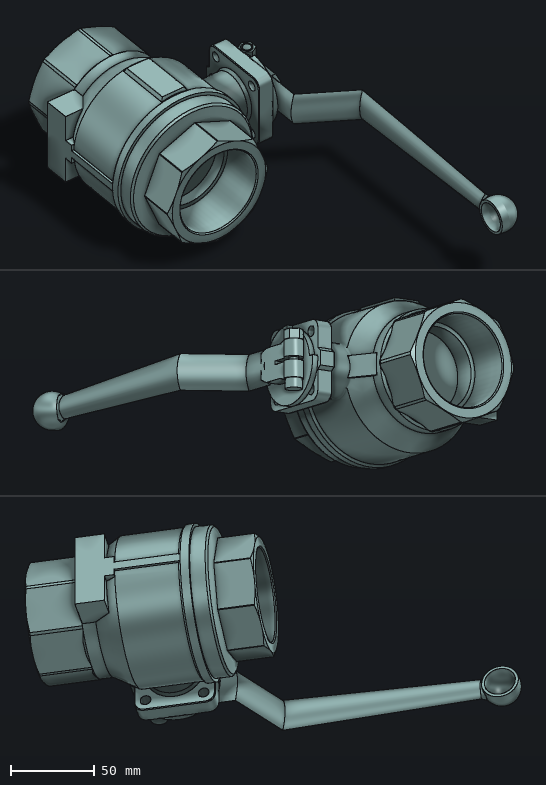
import cadquery as cq
import math

INLET_END = -70.0
INLET_HEX_END = -36.5
SHOULDER_START = -28.0
BARREL_START = -12.5
COLLAR_START = 28.0
CAP_START = 33.5
CAP_RIM_END = 44.3
CAP_HEX_START = 46.5
OUTLET_END = 70.2

OCTAGON_CORNER_RADIUS = 37.8
INLET_CORNER_FLAT = 2.0
CAP_CORNER_FLAT = 0.5
MOUTH_CHAMFER_DEPTH = 2.7
MOUTH_CHAMFER_LENGTH = 1.4
THREAD_RADIUS = 28.5
THREAD_DEPTH = 29.2
THREAD_CHAMFER = 0.8
PORT_RADIUS = 26.0
PORT_DEPTH = 43.2

THROAT_RADIUS = 37.3
THROAT_CHAMFER = 1.5
BARREL_RADIUS = 46.5
COLLAR_RADIUS = 48.0
COLLAR_FLARE = 1.4
CAP_RIM_RADIUS = 46.0
CAP_RIM_CHAMFER = 1.4

FOOT_END = -18.4
FOOT_HALF_WIDTH = 24.8
WEB_HALF_WIDTH = 6.8
WEB_START = -32.0
RIB_HALF_WIDTH = 2.7
PAD_START = -11.5
PAD_END = 26.5
PAD_HALF_WIDTH = 9.7
PAD_INSET = 1.4
PAD_BASE = 45.4

NECK_RADIUS = 16.7
NECK_FLARE = 1.0
NECK_FLARE_HEIGHT = 2.5
NECK_ROOT_FILLET = 1.5
FLANGE_BOTTOM = 64.3
FLANGE_TOP = 74.8
FLANGE_HALF_SIDE = 24.8
FLANGE_CORNER = 6.0
FLANGE_EDGE_CHAMFER = 0.5
FLANGE_HOLE_PITCH = 35.6
FLANGE_HOLE_RADIUS = 3.2
LUG_REACH = 27.5
LUG_HALF_WIDTH = 4.5
LUG_BASE_HALF_WIDTH = 6.8
LUG_HOLE_X = -22.0
LUG_HOLE_RADIUS = 2.2

PLATE_RADIUS = 24.8
PLATE_RELIEF_RADIUS = 21.5
PLATE_STEP_OFFSET = 2.0
PLATE_TOP = 78.5

HUB_TOP = 88.5
JAW_HALF_WIDTH = 12.0
JAW_END = -8.6
HUB_HALF_WIDTH = 10.5
HUB_START = -5.0
HUB_SHOULDER = 9.5
HUB_END = 14.8
HUB_END_HALF_WIDTH = 8.0
SLIT_WIDTH = 2.2
BOLT_X = -14.0
BOLT_Y = 84.8
JAW_RADIUS = 6.0

SHANK_RADIUS = 3.0
HEAD_RADIUS = 5.0
HEAD_HEIGHT = 6.2
NUT_ACROSS_FLATS = 10.0
NUT_COUNTERSINK = 0.8

ARM_THICKNESS = 7.8
ARM_START = 11.3
LOWER_ARM_Y = 84.8
LOWER_BEND_X = 32.7
UPPER_BEND_X = 54.0
UPPER_ARM_Y = 120.2
CRANK_WIDTH = 22.7
TIP_WIDTH = 14.8
TIP_X = 175.8
TIP_FLARE = 2.7
TIP_FLARE_LENGTH = 3.2

KNOB_RADIUS = 12.0
KNOB_X = 188.2
KNOB_Y = 120.2
KNOB_MOUTH_Y = 114.8
KNOB_MOUTH_RADIUS = 11.3
KNOB_CAVITY_RADIUS = 9.5


def revolve_about_pipe(points):
    """Solid of revolution about the X axis from (x, radius) points."""
    return cq.Workplane("XY").polyline(points).close().revolve(360, (0, 0, 0), (1, 0, 0))


def cylinder_along_stem(bottom, top, radius, x=0, z=0):
    return cq.Workplane("XZ", origin=(x, bottom, z)).circle(radius).extrude(bottom - top)


def box_between(x_range, y_range, z_range):
    size = [high - low for low, high in (x_range, y_range, z_range)]
    corner = (x_range[0], y_range[0], z_range[0])
    return cq.Workplane("XY").box(*size, centered=False).translate(corner)


def octagon_end(mouth, root, corner_flat):
    """Octagonal wrench section with turned corners, chamfered at its mouth."""
    half_flat_angle = math.asin(corner_flat / 2 / OCTAGON_CORNER_RADIUS)
    apothem = OCTAGON_CORNER_RADIUS * math.cos(math.pi / 8 - half_flat_angle)
    circumscribed = 2 * apothem / math.cos(math.pi / 8)
    prism = cq.Workplane("YZ", origin=(mouth, 0, 0)).polygon(8, circumscribed).extrude(root - mouth)
    turned = revolve_about_pipe([
        (mouth, 0),
        (mouth, OCTAGON_CORNER_RADIUS - MOUTH_CHAMFER_DEPTH),
        (mouth + math.copysign(MOUTH_CHAMFER_LENGTH, root - mouth), OCTAGON_CORNER_RADIUS),
        (root, OCTAGON_CORNER_RADIUS),
        (root, 0),
    ])
    return prism.intersect(turned)


def threaded_port(mouth, direction):
    """Stepped blind bore; direction is +1 when it runs toward +X."""
    return revolve_about_pipe([
        (mouth, 0),
        (mouth, THREAD_RADIUS + THREAD_CHAMFER),
        (mouth + direction * THREAD_CHAMFER, THREAD_RADIUS),
        (mouth + direction * THREAD_DEPTH, THREAD_RADIUS),
        (mouth + direction * THREAD_DEPTH, PORT_RADIUS),
        (mouth + direction * PORT_DEPTH, PORT_RADIUS),
        (mouth + direction * PORT_DEPTH, 0),
    ])


def make_shell():
    """Turned casting with a conical shoulder, and the neck that rises from it."""
    shell = revolve_about_pipe([
        (INLET_HEX_END - THROAT_CHAMFER, 0),
        (INLET_HEX_END - THROAT_CHAMFER, THROAT_RADIUS - THROAT_CHAMFER),
        (INLET_HEX_END, THROAT_RADIUS),
        (SHOULDER_START, THROAT_RADIUS),
        (BARREL_START, BARREL_RADIUS),
        (COLLAR_START - COLLAR_FLARE, BARREL_RADIUS),
        (COLLAR_START, COLLAR_RADIUS),
        (CAP_START, COLLAR_RADIUS),
        (CAP_START, 0),
    ])
    neck = cylinder_along_stem(0, FLANGE_BOTTOM, NECK_RADIUS)
    neck_root = cq.selectors.BoxSelector(
        (-2 * NECK_RADIUS, THROAT_RADIUS, -2 * NECK_RADIUS),
        (2 * NECK_RADIUS, COLLAR_RADIUS, 2 * NECK_RADIUS),
    )
    shell = shell.union(neck)
    return shell.edges(neck_root).edges("not %CIRCLE").edges("not %LINE").fillet(NECK_ROOT_FILLET)


def make_foot():
    """Block under the throat, with a web that joins it to the lower rib."""
    block = box_between(
        (INLET_HEX_END, FOOT_END), (-COLLAR_RADIUS, 0), (-FOOT_HALF_WIDTH, FOOT_HALF_WIDTH)
    )
    web = box_between(
        (FOOT_END, BARREL_START), (-COLLAR_RADIUS, 0), (-WEB_HALF_WIDTH, WEB_HALF_WIDTH)
    )
    return block.union(web)


def make_ribs():
    """Parting ribs along the barrel at +Y and -Y, and the web up the shoulder to the neck."""
    ribs = box_between(
        (BARREL_START, COLLAR_START), (-COLLAR_RADIUS, COLLAR_RADIUS), (-RIB_HALF_WIDTH, RIB_HALF_WIDTH)
    )
    web = (
        cq.Workplane("XY", origin=(0, 0, -WEB_HALF_WIDTH))
        .moveTo(WEB_START, 0)
        .lineTo(WEB_START, THROAT_RADIUS)
        .lineTo(BARREL_START, COLLAR_RADIUS)
        .lineTo(BARREL_START, 0)
        .close()
        .extrude(2 * WEB_HALF_WIDTH)
    )
    return ribs.union(web)


def make_pad():
    """Tapered name pad on the barrel, facing +Z."""
    centre_x = (PAD_START + PAD_END) / 2
    length = PAD_END - PAD_START
    width = 2 * PAD_HALF_WIDTH
    root = box_between((PAD_START, PAD_END), (-PAD_HALF_WIDTH, PAD_HALF_WIDTH), (0, PAD_BASE))
    top = (
        cq.Workplane("XY", origin=(centre_x, 0, PAD_BASE))
        .rect(length, width)
        .workplane(offset=COLLAR_RADIUS - PAD_BASE)
        .rect(length - 2 * PAD_INSET, width - 2 * PAD_INSET)
        .loft(ruled=True)
    )
    return root.union(top)


def make_flange():
    """Square mounting flange with a drilled lug on its -X side."""
    thickness = FLANGE_TOP - FLANGE_BOTTOM
    base = cq.Workplane("XZ", origin=(0, FLANGE_TOP, 0))
    plate = base.rect(2 * FLANGE_HALF_SIDE, 2 * FLANGE_HALF_SIDE).extrude(thickness)
    plate = plate.edges("|Y").fillet(FLANGE_CORNER)
    lug = (
        base.polyline([
            (0, -LUG_BASE_HALF_WIDTH),
            (-FLANGE_HALF_SIDE, -LUG_BASE_HALF_WIDTH),
            (-LUG_REACH, -LUG_HALF_WIDTH),
            (-LUG_REACH, LUG_HALF_WIDTH),
            (-FLANGE_HALF_SIDE, LUG_BASE_HALF_WIDTH),
            (0, LUG_BASE_HALF_WIDTH),
        ])
        .close()
        .extrude(thickness)
    )
    corner_holes = (
        base.rect(FLANGE_HOLE_PITCH, FLANGE_HOLE_PITCH, forConstruction=True)
        .vertices()
        .circle(FLANGE_HOLE_RADIUS)
        .extrude(thickness)
    )
    lug_hole = cylinder_along_stem(FLANGE_BOTTOM, FLANGE_TOP, LUG_HOLE_RADIUS, x=LUG_HOLE_X)
    flange = plate.union(lug).faces("<Y").chamfer(FLANGE_EDGE_CHAMFER)
    return flange.cut(corner_holes).cut(lug_hole)


def make_neck_collar():
    """Small cone where the neck meets the flange."""
    return cq.Workplane("XY").polyline([
        (0, FLANGE_BOTTOM - NECK_FLARE_HEIGHT),
        (NECK_RADIUS, FLANGE_BOTTOM - NECK_FLARE_HEIGHT),
        (NECK_RADIUS + NECK_FLARE, FLANGE_BOTTOM),
        (0, FLANGE_BOTTOM),
    ]).close().revolve(360, (0, 0, 0), (0, 1, 0))


def make_housing():
    housing = make_shell()
    housing = housing.union(octagon_end(INLET_END, INLET_HEX_END, INLET_CORNER_FLAT))
    housing = housing.union(make_foot()).union(make_ribs())
    housing = housing.union(make_pad()).union(make_neck_collar()).union(make_flange())
    return housing.cut(threaded_port(INLET_END, 1))


def make_end_cap():
    """Outlet piece with a round rim against the housing collar."""
    rim = revolve_about_pipe([
        (CAP_START, 0),
        (CAP_START, CAP_RIM_RADIUS),
        (CAP_RIM_END - CAP_RIM_CHAMFER, CAP_RIM_RADIUS),
        (CAP_RIM_END, CAP_RIM_RADIUS - CAP_RIM_CHAMFER),
        (CAP_HEX_START, OCTAGON_CORNER_RADIUS),
        (CAP_HEX_START, 0),
    ])
    cap = rim.union(octagon_end(OUTLET_END, CAP_HEX_START, CAP_CORNER_FLAT))
    return cap.cut(threaded_port(OUTLET_END, -1))


def make_stop_plate():
    """Disc whose -X, +Z quarter is relieved, leaving two stop steps."""
    full = cylinder_along_stem(FLANGE_TOP, PLATE_TOP, PLATE_RADIUS)
    inner = cylinder_along_stem(FLANGE_TOP, PLATE_TOP, PLATE_RELIEF_RADIUS)
    quarter = box_between(
        (-PLATE_RADIUS, PLATE_STEP_OFFSET), (FLANGE_TOP, PLATE_TOP), (PLATE_STEP_OFFSET, PLATE_RADIUS)
    )
    return full.cut(quarter).union(inner)


def make_clamp():
    """Slit hub of the handle with a round jaw for the bolt."""
    half_hub = (
        cq.Workplane("XZ", origin=(0, HUB_TOP, 0))
        .moveTo(BOLT_X, 0)
        .lineTo(BOLT_X, JAW_HALF_WIDTH)
        .lineTo(JAW_END, JAW_HALF_WIDTH)
        .lineTo(HUB_START, HUB_HALF_WIDTH)
        .lineTo(HUB_SHOULDER, HUB_HALF_WIDTH)
        .lineTo(HUB_END, HUB_END_HALF_WIDTH)
        .lineTo(HUB_END, 0)
        .close()
        .extrude(HUB_TOP - PLATE_TOP)
    )
    hub = half_hub.union(half_hub.mirror("XY"))
    jaw = (
        cq.Workplane("XY", origin=(BOLT_X, BOLT_Y, -JAW_HALF_WIDTH))
        .circle(JAW_RADIUS)
        .extrude(2 * JAW_HALF_WIDTH)
    )
    slit = box_between(
        (BOLT_X - JAW_RADIUS, 0),
        (BOLT_Y - JAW_RADIUS, BOLT_Y + JAW_RADIUS),
        (-SLIT_WIDTH / 2, SLIT_WIDTH / 2),
    )
    bolt_hole = (
        cq.Workplane("XY", origin=(BOLT_X, BOLT_Y, -JAW_HALF_WIDTH))
        .circle(SHANK_RADIUS)
        .extrude(2 * JAW_HALF_WIDTH)
    )
    return hub.union(jaw).cut(slit).cut(bolt_hole)


def arm_section(x, y, plane_angle, thickness, width):
    """Lens-shaped wire whose plane normal is turned plane_angle from +X toward +Y."""
    across = cq.Vector(-math.sin(plane_angle), math.cos(plane_angle), 0) * (thickness / 2)
    centre = cq.Vector(x, y, 0)
    top_edge = cq.Vector(x, y, width / 2)
    bottom_edge = cq.Vector(x, y, -width / 2)
    outer_arc = cq.Edge.makeThreePointArc(top_edge, centre + across, bottom_edge)
    inner_arc = cq.Edge.makeThreePointArc(bottom_edge, centre - across, top_edge)
    return cq.Wire.assembleEdges([outer_arc, inner_arc])


def make_arm():
    """Cranked arm with mitred bends, flared where it runs into the knob."""
    crank_angle = math.atan2(UPPER_ARM_Y - LOWER_ARM_Y, UPPER_BEND_X - LOWER_BEND_X)
    miter_angle = crank_angle / 2
    miter_thickness = ARM_THICKNESS / math.cos(miter_angle)
    sections = [
        arm_section(ARM_START, LOWER_ARM_Y, 0, ARM_THICKNESS, CRANK_WIDTH),
        arm_section(LOWER_BEND_X, LOWER_ARM_Y, miter_angle, miter_thickness, CRANK_WIDTH),
        arm_section(UPPER_BEND_X, UPPER_ARM_Y, miter_angle, miter_thickness, CRANK_WIDTH),
        arm_section(TIP_X, UPPER_ARM_Y, 0, ARM_THICKNESS, TIP_WIDTH),
        arm_section(
            TIP_X + TIP_FLARE_LENGTH, UPPER_ARM_Y, 0, ARM_THICKNESS + TIP_FLARE, TIP_WIDTH + TIP_FLARE
        ),
    ]
    return cq.Workplane(cq.Solid.makeLoft(sections, True))


def make_knob():
    """Domed knob, turned about an axis parallel to Y."""
    profile = (
        cq.Workplane("XY", origin=(KNOB_X, KNOB_Y, 0))
        .moveTo(0, KNOB_RADIUS)
        .radiusArc((KNOB_RADIUS, 0), KNOB_RADIUS)
        .lineTo(KNOB_MOUTH_RADIUS, KNOB_MOUTH_Y - KNOB_Y)
        .lineTo(0, KNOB_MOUTH_Y - KNOB_Y)
        .close()
    )
    return profile.revolve(360, (0, 0, 0), (0, 1, 0))


def make_knob_cavity():
    dome = cq.Workplane("XY", origin=(KNOB_X, KNOB_Y, 0)).sphere(KNOB_CAVITY_RADIUS)
    mouth = cylinder_along_stem(KNOB_MOUTH_Y, KNOB_Y, KNOB_CAVITY_RADIUS, x=KNOB_X)
    return dome.union(mouth)


def make_handle():
    lever = make_arm().union(make_knob())
    return lever.cut(make_knob_cavity()).union(make_clamp())


def make_bolt():
    """Clamp bolt with a round head under the jaw; its shank ends flush with the nut."""
    base = cq.Workplane("XY", origin=(BOLT_X, BOLT_Y, -JAW_HALF_WIDTH))
    head = base.circle(HEAD_RADIUS).extrude(-HEAD_HEIGHT)
    shank = base.circle(SHANK_RADIUS).extrude(2 * JAW_HALF_WIDTH + HEAD_HEIGHT)
    return head.union(shank)


def make_nut():
    across_corners = NUT_ACROSS_FLATS / math.cos(math.pi / 6)
    return (
        cq.Workplane("XY", origin=(BOLT_X, BOLT_Y, JAW_HALF_WIDTH))
        .polygon(6, across_corners)
        .circle(SHANK_RADIUS)
        .extrude(HEAD_HEIGHT)
        .faces(">Z")
        .edges("%CIRCLE")
        .chamfer(NUT_COUNTERSINK)
    )


housing = make_housing()
end_cap = make_end_cap()
stop_plate = make_stop_plate()
handle = make_handle()
bolt = make_bolt()
nut = make_nut()

result = cq.Compound.makeCompound([
    housing.val(),
    end_cap.val(),
    stop_plate.val(),
    handle.val(),
    bolt.val(),
    nut.val(),
])